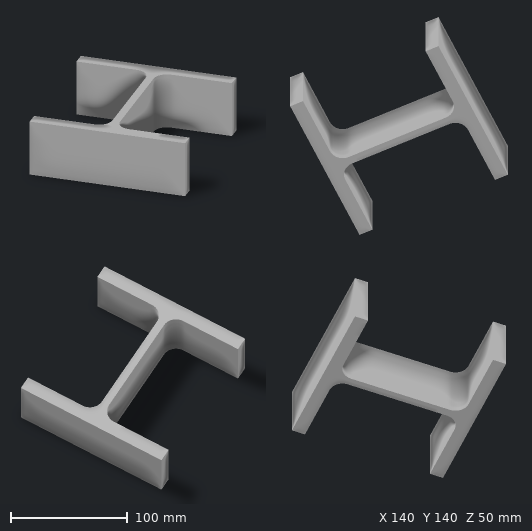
import cadquery as cq

section_width = 140.0
section_depth = 140.0
beam_length = 50.0
flange_thickness = 12.0
web_thickness = 7.0
root_radius = 12.0

web_depth = section_depth - 2 * flange_thickness
flange_offset = (section_depth - flange_thickness) / 2

web = cq.Workplane("XY").rect(web_thickness, web_depth).extrude(beam_length)

flanges = (
    cq.Workplane("XY")
    .pushPoints([(0, -flange_offset), (0, flange_offset)])
    .rect(section_width, flange_thickness)
    .extrude(beam_length)
)

root_corner_box = cq.selectors.BoxSelector(
    (-web_thickness, -section_depth / 2, 0),
    (web_thickness, section_depth / 2, beam_length),
)
beam = web.union(flanges)
result = beam.edges("|Z").edges(root_corner_box).fillet(root_radius)